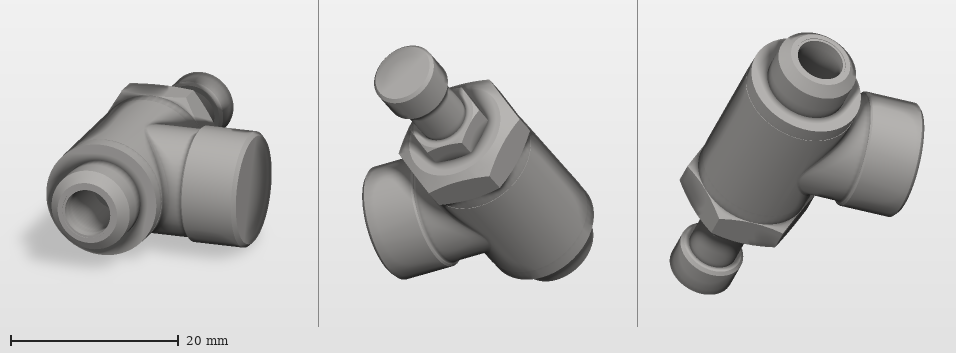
import cadquery as cq
import math

nose_dia = 9.85
nose_chamfer = 1.18
body_start = 5.05
body_end_dia = 13.9
body_mid_dia = 14.0
body_mid_start = 6.9
body_mid_end = 21.85
nut_start = 23.6
nut_end = 28.15
nut_across_flats = 14.0
nut_front_face_dia = 14.0
nut_back_face_dia = 12.2
locknut_end = 31.2
locknut_across_flats = 8
stem_dia = 6.0
knob_start = 37.5
knob_end = 42
knob_dia = 8
knob_chamfer = 0.38
bevel_angle = 30

bore_dia = 5.7
bore_mouth_dia = 6.3
bore_mouth_depth = 0.1
bore_depth = 10.1
inner_hole_dia = 2.7
inner_hole_depth = 2.5

port_y = 14.35
neck_dia = 13
collar_dia = 14.0
collar_start = 9.1
collar_end = 16.0
collar_inner_chamfer = 0.2
collar_outer_chamfer = 0.45
collar_root_radius = 0.25
neck_fillet = 0.5


def cylinder_y(dia, start, end):
    """Cylinder on the main axis between two Y positions."""
    return cq.Workplane("XZ", origin=(0, start, 0)).circle(dia / 2).extrude(start - end)


def hex_nut(across_flats, start, end, front_face_dia, back_face_dia):
    """Hexagon with corners on +-X, bevelled by a cone at both ends."""
    corner_dia = across_flats / math.cos(math.radians(30))
    corner_r = corner_dia / 2
    front_r = front_face_dia / 2
    back_r = back_face_dia / 2
    slope = math.tan(math.radians(bevel_angle))
    prism = cq.Workplane("XZ", origin=(0, start, 0)).polygon(6, corner_dia).extrude(start - end)
    envelope = (
        cq.Workplane("XY")
        .moveTo(0, start)
        .lineTo(front_r, start)
        .lineTo(corner_r, start + (corner_r - front_r) * slope)
        .lineTo(corner_r, end - (corner_r - back_r) * slope)
        .lineTo(back_r, end)
        .lineTo(0, end)
        .close()
        .revolve(360, (0, 0, 0), (0, 1, 0))
    )
    return prism.intersect(envelope)


def cylinder_x(dia, start, end):
    """Cylinder on the side port axis between two X positions."""
    return cq.Workplane("YZ", origin=(start, port_y, 0)).circle(dia / 2).extrude(end - start)


body = cylinder_y(body_mid_dia, body_mid_start, body_mid_end)
body = body.union(cylinder_x(neck_dia, 0, collar_start))
junction_reach = body_mid_dia / 2 + neck_fillet
junction_box = cq.selectors.BoxSelector(
    (0, body_mid_start + neck_fillet, -junction_reach),
    (junction_reach, body_mid_end - neck_fillet, junction_reach),
)
body = body.edges(junction_box).fillet(neck_fillet)

neck_r = neck_dia / 2
collar_r = collar_dia / 2
root_start = collar_start - collar_root_radius
root_mid_offset = collar_root_radius * math.sqrt(0.5)
collar = (
    cq.Workplane("XY", origin=(0, port_y, 0))
    .moveTo(root_start, 0)
    .lineTo(root_start, neck_r)
    .threePointArc(
        (root_start + root_mid_offset, neck_r + collar_root_radius - root_mid_offset),
        (collar_start, neck_r + collar_root_radius),
    )
    .lineTo(collar_start, collar_r - collar_inner_chamfer)
    .lineTo(collar_start + collar_inner_chamfer, collar_r)
    .lineTo(collar_end - collar_outer_chamfer, collar_r)
    .lineTo(collar_end, collar_r - collar_outer_chamfer)
    .lineTo(collar_end, 0)
    .close()
    .revolve(360, (0, 0, 0), (1, 0, 0))
)

nose = cylinder_y(nose_dia, 0, body_start).faces("<Y").chamfer(nose_chamfer)
body_ends = cylinder_y(body_end_dia, body_start, nut_start)
stem = cylinder_y(stem_dia, locknut_end, knob_start)
knob = cylinder_y(knob_dia, knob_start, knob_end).faces("<Y or >Y").chamfer(knob_chamfer)

nut = hex_nut(nut_across_flats, nut_start, nut_end, nut_front_face_dia, nut_back_face_dia)
locknut = hex_nut(
    locknut_across_flats, nut_end, locknut_end, locknut_across_flats, locknut_across_flats
)

result = body
for piece in (collar, body_ends, nose, nut, locknut, stem, knob):
    result = result.union(piece)

inner_hole_end = bore_depth + inner_hole_depth
result = result.cut(cylinder_y(bore_mouth_dia, 0, bore_mouth_depth))
result = result.cut(cylinder_y(bore_dia, 0, bore_depth))
result = result.cut(cylinder_y(inner_hole_dia, bore_depth, inner_hole_end))